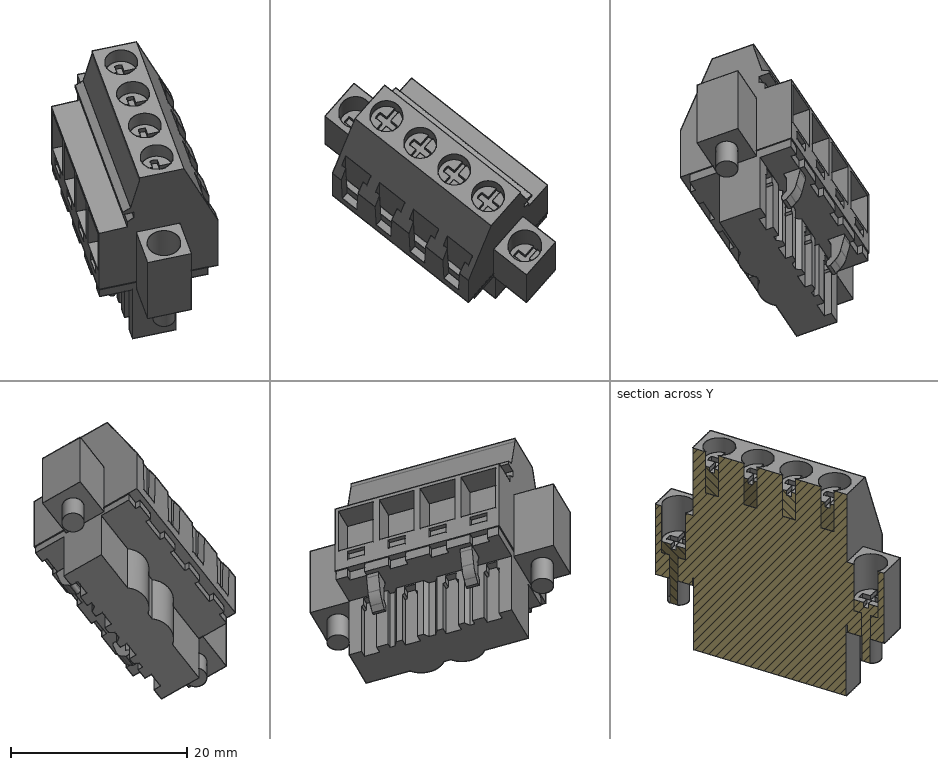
import cadquery as cq


overall_width = 29.8
overall_depth = 14.05
overall_height = 27.2
pole_pitch = 5.0
pole_count = 4
pole_positions = [(i - (pole_count - 1) / 2) * pole_pitch for i in range(pole_count)]

body_width = 20.12
body_bottom = 9.6
back_wall_top = 17.22
roof_front = 4.77
roof_back = 10.0
roof_edge_bottom = 26.7
front_slope_y = 3.72
front_slope_bottom = 22.45
lip_y = 2.8
lip_top = 21.95
lip_bottom = 21.55
lip_groove_y = 4.1
lip_groove_bottom = 20.68
ledge_riser_y = 3.35
ledge_riser_top = 20.17
ledge_back_z = 19.3
ledge_front_z = 19.2

base_width = 19.9
base_bottom = 8.3
base_front = 0.12
base_back = 12.87
base_rib_width = 2.1
base_rib_depth = 0.6
base_notch_width = 2.1
base_notch_depth = 0.65
plug_front = 4.0
plug_back = 9.12
plug_bulge_back = 10.07

pole_face_half_width = 2.1
outer_pole_edge = 2.32
groove_depth = 0.6
groove_flare = 0.42
contact_slot_depth = 0.9
contact_slot_half_width = 0.92
contact_slot_neck_half_width = 0.65
contact_slot_shoulder = 6.97
contact_slot_neck_bottom = 7.15
contact_slot_top = 8.1

wire_window_width = 4.23
wire_window_bottom = 12.55
wire_window_top = 18.68
wire_window_depth = 2.75
test_window_width = 2.1
test_window_bottom = 10.88
test_window_top = 12.1
test_window_depth = 0.48

marker_slot_width = 3.72
marker_slot_front = 12.5
marker_slot_back = 13.17
marker_slot_floor = 13.1
marker_mouth_floor = 11.32
marker_mouth_floor_width = 2.15
marker_mouth_top_width = 2.62
marker_mouth_top = 20.25

hook_width = 1.45
hook_inner_x = 5.0
hook_root_front = 0.7
hook_root_back = 2.75
hook_root_bottom = 7.8
hook_bend_start = (1.13, 5.93)
hook_bend_middle = (1.43, 5.1)
hook_bend_end = (1.88, 4.53)
hook_nose_start = (2.45, 3.95)
hook_nose_middle = (2.83, 4.02)
hook_nose_end = (2.98, 4.35)
hook_nose_top = (2.98, 4.83)
hook_inner_face_y = 2.38
hook_inner_face_bottom = 5.4
hook_inner_face_top = 7.27

terminal_screw_diameter = 3.72
terminal_screw_y = 7.5
terminal_screw_recess = 1.95
terminal_screw_length = 3.58
terminal_screw_top = overall_height - terminal_screw_recess

flange_width = (overall_width - body_width) / 2
flange_bottom = 8.6
flange_top = 18.12
flange_depth = 5.15
flange_screw_x = 12.52
flange_screw_y = 6.97
flange_head_diameter = 3.8
flange_head_recess = 4.77
flange_head_height = 1.5
flange_head_top = flange_top - flange_head_recess
flange_head_bottom = flange_head_top - flange_head_height
flange_shank_diameter = 2.53
flange_shank_bottom = 5.35

cross_long_width = 0.6
cross_short_length = 2.62
cross_short_width = 0.83
cross_depth = 0.6


def block(x0, x1, y0, y1, z0, z1):
    """Box between two opposite corners."""
    return cq.Workplane("XY").box(x1 - x0, y1 - y0, z1 - z0, centered=False).translate((x0, y0, z0))


def block_at(x, width, y0, y1, z0, z1):
    """Box centred on x."""
    return block(x - width / 2, x + width / 2, y0, y1, z0, z1)


def cylinder(x, y, diameter, z0, z1):
    """Upright cylinder between two heights."""
    return cq.Workplane("XY", origin=(x, y, z0)).circle(diameter / 2).extrude(z1 - z0)



def housing_body():
    """Side outline with a sloping back, a retaining lip and a front ledge."""
    outline = [
        (0, body_bottom),
        (overall_depth, body_bottom),
        (overall_depth, back_wall_top),
        (roof_back, overall_height),
        (roof_front, overall_height),
        (roof_front, roof_edge_bottom),
        (front_slope_y, front_slope_bottom),
        (lip_y, lip_top),
        (lip_y, lip_bottom),
        (lip_groove_y, lip_bottom),
        (lip_groove_y, lip_groove_bottom),
        (ledge_riser_y, ledge_riser_top),
        (ledge_riser_y, ledge_back_z),
        (0, ledge_front_z),
    ]
    return cq.Workplane("YZ", origin=(-body_width / 2, 0, 0)).polyline(outline).close().extrude(body_width)


def base_plate():
    """Plate with a notch at the front and a rib at the back of every pole."""
    plate = block_at(0, base_width, base_front, base_back, base_bottom, body_bottom)
    notch_back = base_front + base_notch_depth
    rib_back = base_back + base_rib_depth
    for x in pole_positions:
        plate = plate.cut(block_at(x, base_notch_width, base_front, notch_back, base_bottom, body_bottom))
        plate = plate.union(block_at(x, base_rib_width, base_back, rib_back, base_bottom, body_bottom))
    return plate


def plug_groove(left_bottom, right_bottom, left_flare, right_flare):
    """Upright groove in the plug front, each side square or flared."""
    floor_y = plug_front + groove_depth
    outline = [
        (left_bottom - left_flare, plug_front),
        (left_bottom, floor_y),
        (right_bottom, floor_y),
        (right_bottom + right_flare, plug_front),
    ]
    return cq.Workplane("XY").polyline(outline).close().extrude(base_bottom)


def plug_bulge(x):
    """Rounded back of an inner pole."""
    return (
        cq.Workplane("XY")
        .moveTo(x - pole_face_half_width, plug_back)
        .threePointArc((x, plug_bulge_back), (x + pole_face_half_width, plug_back))
        .close()
        .extrude(base_bottom)
    )


def contact_slot(x):
    """Slot open at the plug bottom, with a narrower neck at its top."""
    right_side = [
        (contact_slot_half_width, 0),
        (contact_slot_half_width, contact_slot_shoulder),
        (contact_slot_neck_half_width, contact_slot_neck_bottom),
        (contact_slot_neck_half_width, contact_slot_top),
    ]
    left_side = [(-dx, z) for dx, z in reversed(right_side)]
    outline = [(x + dx, z) for dx, z in right_side + left_side]
    slot = cq.Workplane("XZ", origin=(0, plug_front, 0)).polyline(outline).close()
    return slot.extrude(-contact_slot_depth)


def plug():
    """Plug with square outer poles and round-backed inner poles."""
    body = block_at(0, base_width, plug_front, plug_back, 0, base_bottom)
    inner_poles = pole_positions[1:-1]
    for x in inner_poles:
        body = body.union(plug_bulge(x))

    square_edge = pole_positions[0] + outer_pole_edge
    flared_edge = pole_positions[1] - pole_face_half_width
    body = body.cut(plug_groove(square_edge, flared_edge, 0, groove_flare))
    body = body.cut(plug_groove(-flared_edge, -square_edge, groove_flare, 0))
    for left, right in zip(inner_poles, inner_poles[1:]):
        left_bottom = left + pole_face_half_width
        right_bottom = right - pole_face_half_width
        body = body.cut(plug_groove(left_bottom, right_bottom, groove_flare, groove_flare))

    for x in pole_positions:
        body = body.cut(contact_slot(x))
    return body


def latch_hook(x_start):
    """Curved hook hanging from the base plate, with a rounded nose pointing back."""
    return (
        cq.Workplane("YZ", origin=(x_start, 0, 0))
        .moveTo(hook_root_front, base_bottom)
        .lineTo(hook_root_front, hook_root_bottom)
        .lineTo(*hook_bend_start)
        .threePointArc(hook_bend_middle, hook_bend_end)
        .lineTo(*hook_nose_start)
        .threePointArc(hook_nose_middle, hook_nose_end)
        .lineTo(*hook_nose_top)
        .lineTo(hook_inner_face_y, hook_inner_face_bottom)
        .lineTo(hook_inner_face_y, hook_inner_face_top)
        .lineTo(hook_root_back, base_bottom)
        .close()
        .extrude(hook_width)
    )


def flange(x_start):
    """Block on one end of the housing that carries a flange screw."""
    front = flange_screw_y - flange_depth / 2
    return block(x_start, x_start + flange_width, front, front + flange_depth, flange_bottom, flange_top)


def marker_slot(x):
    """T-shaped slot: a wide pocket and a tapered mouth that opens through the back wall."""
    pocket = block_at(
        x, marker_slot_width, marker_slot_front, marker_slot_back, marker_slot_floor, overall_height
    )
    mouth_outline = [
        (x - marker_mouth_floor_width / 2, marker_mouth_floor),
        (x + marker_mouth_floor_width / 2, marker_mouth_floor),
        (x + marker_mouth_top_width / 2, marker_mouth_top),
        (x - marker_mouth_top_width / 2, marker_mouth_top),
    ]
    mouth = (
        cq.Workplane("XZ", origin=(0, marker_slot_back, 0))
        .polyline(mouth_outline)
        .close()
        .extrude(marker_slot_back - overall_depth)
    )
    return pocket.union(mouth)


def terminal_hole(x):
    """Blind hole that the terminal screw stands in."""
    bottom = terminal_screw_top - terminal_screw_length
    return cylinder(x, terminal_screw_y, terminal_screw_diameter, bottom, overall_height)


def flange_hole(x):
    """Counterbored through hole for a flange screw."""
    head_hole = cylinder(x, flange_screw_y, flange_head_diameter, flange_head_bottom, flange_top)
    shank_hole = cylinder(x, flange_screw_y, flange_shank_diameter, flange_bottom, flange_head_bottom)
    return head_hole.union(shank_hole)


def make_housing():
    body = housing_body().union(base_plate()).union(plug())
    for x_start in (-hook_inner_x - hook_width, hook_inner_x):
        body = body.union(latch_hook(x_start))
    for x_start in (-overall_width / 2, body_width / 2):
        body = body.union(flange(x_start))
    for x in pole_positions:
        body = body.cut(
            block_at(x, wire_window_width, 0, wire_window_depth, wire_window_bottom, wire_window_top)
        )
        body = body.cut(
            block_at(x, test_window_width, 0, test_window_depth, test_window_bottom, test_window_top)
        )
        body = body.cut(marker_slot(x))
        body = body.cut(terminal_hole(x))
    for x in (-flange_screw_x, flange_screw_x):
        body = body.cut(flange_hole(x))
    return body



def cross_recess(x, y, head_diameter, top, round_ends):
    """Cross recess: one slot across the whole head and a shorter, wider slot across it."""
    bottom = top - cross_depth
    radius = head_diameter / 2
    half_width = cross_short_width / 2
    long_slot = block_at(x, cross_long_width, y - radius, y + radius, bottom, top)
    short_slot = block_at(x, cross_short_length, y - half_width, y + half_width, bottom, top)
    if round_ends:
        short_slot = short_slot.intersect(cylinder(x, y, cross_short_length, bottom, top))
    return long_slot.union(short_slot)


def make_terminal_screw(x):
    """Plain cylindrical screw with a cross recess."""
    top = terminal_screw_top
    y = terminal_screw_y
    screw = cylinder(x, y, terminal_screw_diameter, top - terminal_screw_length, top)
    return screw.cut(cross_recess(x, y, terminal_screw_diameter, top, round_ends=True))


def make_flange_screw(x):
    """Headed screw whose shank sticks out below the flange."""
    top = flange_head_top
    y = flange_screw_y
    head = cylinder(x, y, flange_head_diameter, flange_head_bottom, top)
    shank = cylinder(x, y, flange_shank_diameter, flange_shank_bottom, flange_head_bottom)
    return head.union(shank).cut(cross_recess(x, y, flange_head_diameter, top, round_ends=False))


housing = make_housing()
terminal_screws = [make_terminal_screw(x) for x in pole_positions]
flange_screws = [make_flange_screw(x) for x in (-flange_screw_x, flange_screw_x)]

result = cq.Compound.makeCompound(
    [housing.val()]
    + [screw.val() for screw in terminal_screws]
    + [screw.val() for screw in flange_screws]
)